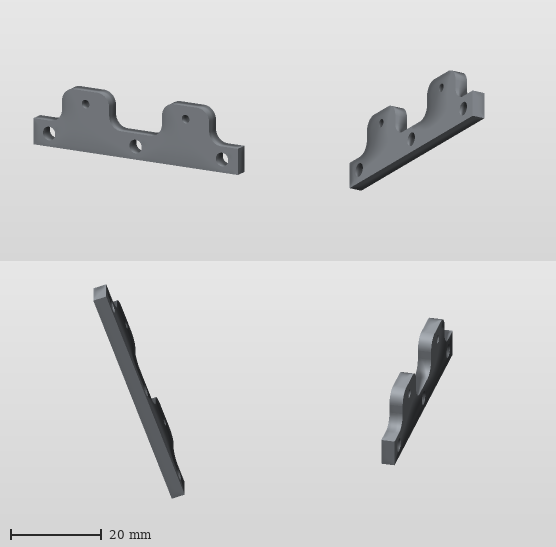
import cadquery as cq

length = 52.0
thickness = 3.0
height = 14.0
base_height = 6.0

tab_width = 12.0
tab_spacing = 25.45
corner_radius = 3.0

base_hole_diameter = 3.1
base_hole_spacing = 22.0
base_hole_height = base_height / 2
tab_hole_diameter = 1.9
tab_hole_height = height - corner_radius

tab_centers = [-tab_spacing / 2, tab_spacing / 2]
base_hole_centers = [-base_hole_spacing, 0, base_hole_spacing]


def block(width, block_height, center_x):
    """Upright block standing on Z = 0 and centred on Y = 0."""
    return (
        cq.Workplane("XY")
        .center(center_x, 0)
        .rect(width, thickness)
        .extrude(block_height)
    )


def hole_cutter(diameter, x, z):
    """Cylinder along Y that passes through the whole thickness."""
    return (
        cq.Workplane("XZ", origin=(x, thickness / 2, z))
        .circle(diameter / 2)
        .extrude(thickness)
    )


plate = block(length, base_height, 0)
for center in tab_centers:
    plate = plate.union(block(tab_width, height, center))

tab_sides = [center + side * tab_width / 2 for center in tab_centers for side in (-1, 1)]
corner_points = [(x, 0, z) for x in tab_sides for z in (base_height, height)]
for point in corner_points:
    plate = plate.edges(cq.selectors.NearestToPointSelector(point)).fillet(corner_radius)

for x in base_hole_centers:
    plate = plate.cut(hole_cutter(base_hole_diameter, x, base_hole_height))
for x in tab_centers:
    plate = plate.cut(hole_cutter(tab_hole_diameter, x, tab_hole_height))

result = plate